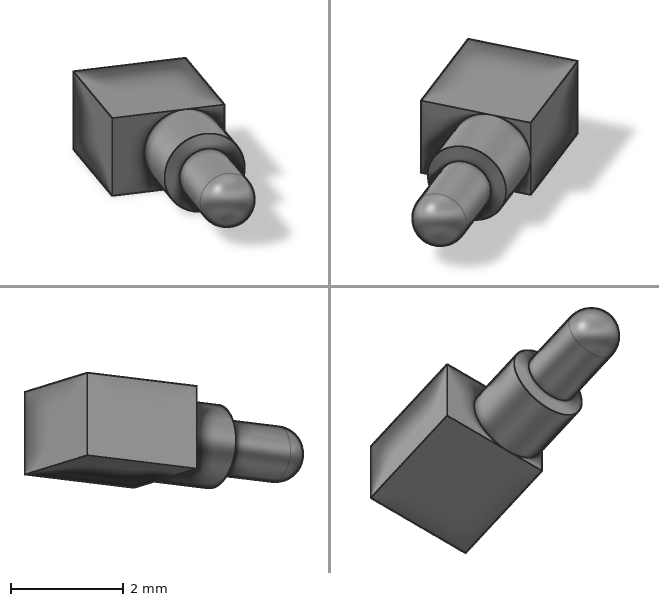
import cadquery as cq
import math

total_length = 5.3
block_length = 2.3
block_width = 2.1
block_height = 1.5
collar_length = 1.2
cone_length = 0.1
pin_diameter = 1.0

collar_radius = block_height / 2
pin_radius = pin_diameter / 2
collar_end = block_length + collar_length
cone_end = collar_end + cone_length
dome_start = total_length - pin_radius
dome_mid_offset = pin_radius * math.sqrt(0.5)


def make_block():
    """Rectangular body whose +Y face is level with the side of the collar."""
    return cq.Workplane("XY").box(block_length, block_width, block_height).translate(
        (block_length / 2, collar_radius - block_width / 2, 0)
    )


def make_plunger():
    """Collar, short cone and round-ended pin, revolved about the X axis."""
    return (
        cq.Workplane("XY")
        .moveTo(block_length, 0)
        .lineTo(block_length, collar_radius)
        .lineTo(collar_end, collar_radius)
        .lineTo(cone_end, pin_radius)
        .lineTo(dome_start, pin_radius)
        .threePointArc((dome_start + dome_mid_offset, dome_mid_offset), (total_length, 0))
        .close()
        .revolve(360, (0, 0, 0), (1, 0, 0))
    )


result = make_block().union(make_plunger())